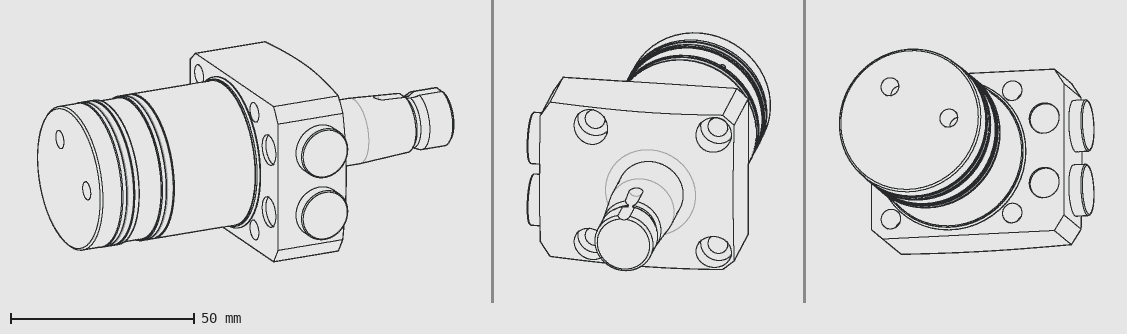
import cadquery as cq
import math


OVERALL_LENGTH = 113.5
OVERALL_WIDTH = 57.8

flange_half = 22.5
flange_plug_side = 31.5
flange_height = 25.0
plain_corner = (3.2, 2.7)
plug_corner = (2.7, 4.2)
crown_flat_radius = 12.5
crown_angle = 12.4
crown_reach = 2 * flange_half

bolt_offset = 17.0
bolt_hole_radius = 2.7
counterbore_radius = 4.8
counterbore_floor = 16.1
port_x = 26.0
port_z = 9.0
port_radius = 4.2
port_depth = 1.1

cylinder_radius = 20.0
cylinder_length = 48.0
land_chamfer = 0.2
collar_radius = 20.9
collar_rim = 0.2
collar_chamfer = 0.6
collar_height = 1.2
relief_radius = 19.5
relief_top_below = 29.6
relief_bottom_below = 36.3
end_radius = 19.9
end_step_below = 41.8
end_step_taper = 0.3
end_chamfer = 0.6

end_hole_angles = (0, 120)
end_hole_circle = 11.0
end_hole_radius = 2.5
end_hole_depth = 11.4
vent_angle = 120
vent_below = 31.1
vent_radius = 0.7
vent_depth = 2.3

seal_tops_below = (26.0, 38.0)
seal_width = 2.0
seal_thickness = 1.7
seal_rounding = 0.2
groove_radius = cylinder_radius - seal_thickness

rod_tip = OVERALL_LENGTH - cylinder_length
rod_radius = 9.1
taper_bottom = 38.7
taper_top = 53.5
taper_top_radius = 8.2
neck_radius = 7.2
neck_bottom = 54.4
neck_top = 55.5
head_bottom = 57.8
head_radius = 8.1
head_chamfer = 0.8

keyway_radius = 2.0
keyway_floor = 7.0
keyway_bottom = 46.9
keyway_axis_z = keyway_floor + keyway_radius

plug_radius = 7.0
plug_length = OVERALL_WIDTH - flange_half - flange_plug_side
plug_chamfer = 0.3
plug_y = 12.5


def revolve_about_y(points):
    """Solid of revolution from (radius, y) points."""
    return cq.Workplane("XY").polyline(points).close().revolve(360, (0, 0, 0), (0, 1, 0))


def cylinder_along_y(x, z, radius, y_start, y_end):
    base = cq.Workplane("XZ", origin=(x, y_start, z))
    return base.circle(radius).extrude(y_start - y_end)


def make_flange_block():
    """Flange outline with cut corners, topped by a flat and a shallow cone around the axis."""
    plain_x, plain_z = plain_corner
    plug_x, plug_z = plug_corner
    upper_half = [
        (-flange_half, flange_half - plain_z),
        (-flange_half + plain_x, flange_half),
        (flange_plug_side - plug_x, flange_half),
        (flange_plug_side, flange_half - plug_z),
    ]
    lower_half = [(x, -z) for x, z in reversed(upper_half)]
    block = cq.Workplane("XZ").polyline(upper_half + lower_half).close().extrude(-flange_height)

    crown_drop = (crown_reach - crown_flat_radius) * math.tan(math.radians(crown_angle))
    crown = revolve_about_y([
        (0, 0),
        (0, flange_height),
        (crown_flat_radius, flange_height),
        (crown_reach, flange_height - crown_drop),
        (crown_reach, 0),
    ])
    return block.intersect(crown)


def cut_bolt_holes(flange):
    for x in (-bolt_offset, bolt_offset):
        for z in (-bolt_offset, bolt_offset):
            flange = flange.cut(cylinder_along_y(x, z, bolt_hole_radius, 0, flange_height))
            counterbore = cylinder_along_y(x, z, counterbore_radius, counterbore_floor, flange_height)
            flange = flange.cut(counterbore)
    return flange


def cut_ports(flange):
    for z in (-port_z, port_z):
        flange = flange.cut(cylinder_along_y(port_x, z, port_radius, 0, port_depth))
    return flange


def recess_profile(floor_radius, top_below, bottom_below):
    """(radius, y) points of a ring-shaped recess in the cylinder with chamfered edges."""
    return [
        (cylinder_radius, -top_below + land_chamfer),
        (cylinder_radius - land_chamfer, -top_below),
        (floor_radius, -top_below),
        (floor_radius, -bottom_below),
        (cylinder_radius - land_chamfer, -bottom_below),
        (cylinder_radius, -bottom_below - land_chamfer),
    ]


def make_cylinder():
    collar_foot_radius = collar_radius - collar_chamfer
    upper_groove, lower_groove = [
        recess_profile(groove_radius, top, top + seal_width) for top in seal_tops_below
    ]
    return revolve_about_y([
        (0, 0),
        (collar_radius, 0),
        (collar_radius, -collar_rim),
        (collar_foot_radius, -collar_rim - collar_chamfer),
        (collar_foot_radius, -collar_height),
        (cylinder_radius, -collar_height),
        *upper_groove,
        *recess_profile(relief_radius, relief_top_below, relief_bottom_below),
        *lower_groove,
        (cylinder_radius, -end_step_below + end_step_taper),
        (end_radius, -end_step_below),
        (end_radius, -cylinder_length + end_chamfer),
        (end_radius - end_chamfer, -cylinder_length),
        (0, -cylinder_length),
    ])


def cut_end_holes(cylinder):
    for angle in end_hole_angles:
        x = end_hole_circle * math.cos(math.radians(angle))
        z = end_hole_circle * math.sin(math.radians(angle))
        hole_top = -cylinder_length + end_hole_depth
        cylinder = cylinder.cut(cylinder_along_y(x, z, end_hole_radius, -cylinder_length, hole_top))
    return cylinder


def cut_vent(cylinder):
    """Small radial hole in the relief between the seals."""
    outward = cq.Vector(math.cos(math.radians(vent_angle)), 0, math.sin(math.radians(vent_angle)))
    floor_centre = outward * (relief_radius - vent_depth) + cq.Vector(0, -vent_below, 0)
    drill_length = collar_radius - relief_radius + vent_depth
    drill = cq.Workplane(cq.Plane(origin=floor_centre, normal=outward))
    return cylinder.cut(drill.circle(vent_radius).extrude(drill_length))


def make_rod():
    rod = revolve_about_y([
        (0, 0),
        (rod_radius, 0),
        (rod_radius, taper_bottom),
        (taper_top_radius, taper_top),
        (neck_radius, neck_bottom),
        (neck_radius, neck_top),
        (head_radius, head_bottom),
        (head_radius, rod_tip - head_chamfer),
        (head_radius - head_chamfer, rod_tip),
        (0, rod_tip),
    ])
    keyway = cylinder_along_y(0, keyway_axis_z, keyway_radius, keyway_bottom, rod_tip)
    keyway_end = cq.Workplane("XY").sphere(keyway_radius).translate((0, keyway_bottom, keyway_axis_z))
    return rod.cut(keyway).cut(keyway_end)


def make_housing():
    """Flange, cylinder and rod in one piece."""
    flange = cut_ports(cut_bolt_holes(make_flange_block()))
    cylinder = cut_vent(cut_end_holes(make_cylinder()))
    return flange.union(cylinder).union(make_rod())


def make_seal(top_below):
    """Ring that fills its groove, with rounded outer edges."""
    bottom_below = top_below + seal_width
    ring = revolve_about_y([
        (groove_radius, -top_below),
        (cylinder_radius, -top_below),
        (cylinder_radius, -bottom_below),
        (groove_radius, -bottom_below),
    ])
    outer_edges = cq.selectors.RadiusNthSelector(-1)
    return ring.edges(outer_edges).fillet(seal_rounding)


def make_plug(z):
    disc = cq.Workplane("YZ", origin=(flange_plug_side, plug_y, z)).circle(plug_radius).extrude(plug_length)
    return disc.faces(">X").edges().chamfer(plug_chamfer)


housing = make_housing()
seals = [make_seal(top_below) for top_below in seal_tops_below]
plugs = [make_plug(z) for z in (-port_z, port_z)]

bodies = [housing, *seals, *plugs]
result = cq.Compound.makeCompound([solid for body in bodies for solid in body.solids().vals()])